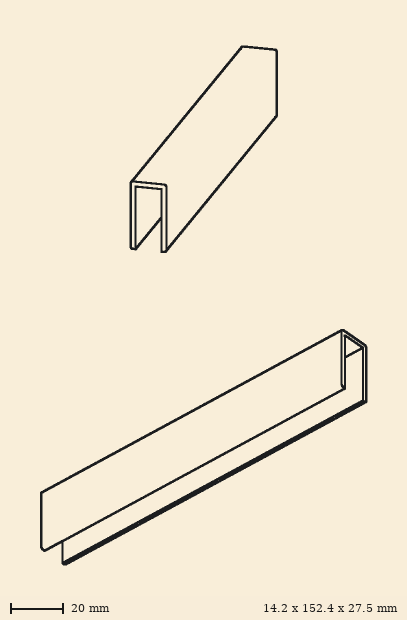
import cadquery as cq

width = 14.2
length = 152.4
height = 27.5
wall = 2.0
edge_radius = 1.0

bar = (
    cq.Workplane("XY")
    .box(width, length, height)
    .edges("|Y")
    .fillet(edge_radius)
)

channel = (
    cq.Workplane("XY")
    .box(width - 2 * wall, length, height)
    .translate((0, 0, -wall))
)

result = bar.cut(channel)